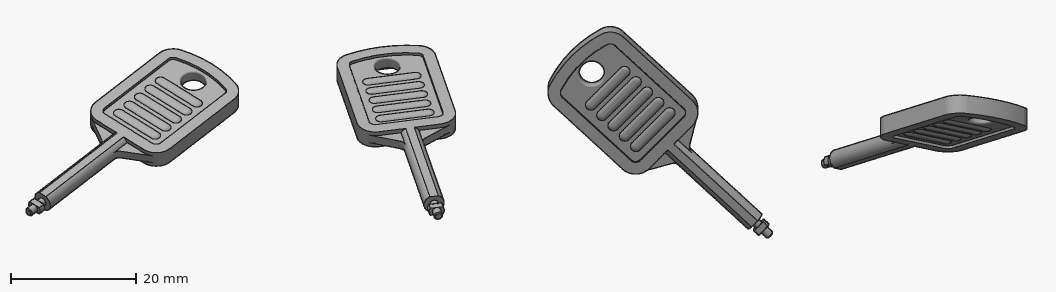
import cadquery as cq
import math


TOTAL_LENGTH = 44.0

HEAD_WIDTH = 16.0
HEAD_LENGTH = 22.0
THICKNESS = 3.0
CORNER_RADIUS = 3.0
TOP_RADIUS = 20.0
HALF_WIDTH = HEAD_WIDTH / 2
HALF_THICKNESS = THICKNESS / 2

RIM_WIDTH = 2.0
RECESS_DEPTH = 0.5
PANEL_Z = HALF_THICKNESS - RECESS_DEPTH

HOLE_DIAMETER = 4.0
HOLE_FROM_TOP = 4.5
HOLE_ROUNDING = 0.3

RIB_COUNT = 5
RIB_ROW_SPAN = 10.0
RIB_PITCH = RIB_ROW_SPAN / (RIB_COUNT - 1)
RIB_LENGTH = 9.5
RIB_WIDTH = 1.75
RIB_HEIGHT = 0.3
RIB_FLAT_WIDTH = 0.4
FIRST_RIB_Y = 4.0

STEM_DIAMETER = 3.3
STEM_LENGTH = 18.55

PIN_DIAMETER = 1.4
PIN_LENGTH = TOTAL_LENGTH - HEAD_LENGTH - STEM_LENGTH
PIN_CHAMFER = 0.18
COLLAR_DIAMETER = 2.5
COLLAR_LENGTH = 1.1
COLLAR_GAP = 0.9

GUSSET_THICKNESS = 1.5
GUSSET_ANGLE = 30.0
GUSSET_FILLET = 1.0
SEAM_MARGIN = 0.2


def head_outline(inset):
    """Closed head contour moved inwards by inset, with the corner arcs kept concentric."""
    top_radius = TOP_RADIUS - inset
    corner_radius = CORNER_RADIUS - inset
    side = HALF_WIDTH - inset
    top = HEAD_LENGTH - inset
    bottom = inset

    corner_x = HALF_WIDTH - CORNER_RADIUS
    top_center_y = HEAD_LENGTH - TOP_RADIUS
    lean = math.asin(corner_x / (TOP_RADIUS - CORNER_RADIUS))
    upper_y = top_center_y + (TOP_RADIUS - CORNER_RADIUS) * math.cos(lean)
    lower_y = CORNER_RADIUS
    shoulder_x = top_radius * math.sin(lean)
    shoulder_y = top_center_y + top_radius * math.cos(lean)

    upper_mid_angle = (math.pi / 2 - lean) / 2
    upper_mid_x = corner_x + corner_radius * math.cos(upper_mid_angle)
    upper_mid_y = upper_y + corner_radius * math.sin(upper_mid_angle)
    diagonal = corner_radius * math.sqrt(0.5)
    lower_mid_x = corner_x + diagonal
    lower_mid_y = lower_y - diagonal

    return (
        cq.Workplane("XY")
        .moveTo(-corner_x, bottom)
        .lineTo(corner_x, bottom)
        .threePointArc((lower_mid_x, lower_mid_y), (side, lower_y))
        .lineTo(side, upper_y)
        .threePointArc((upper_mid_x, upper_mid_y), (shoulder_x, shoulder_y))
        .threePointArc((0, top), (-shoulder_x, shoulder_y))
        .threePointArc((-upper_mid_x, upper_mid_y), (-side, upper_y))
        .lineTo(-side, lower_y)
        .threePointArc((-lower_mid_x, lower_mid_y), (-corner_x, bottom))
        .close()
    )


def make_head():
    head = head_outline(0).extrude(HALF_THICKNESS, both=True)
    recess = head_outline(RIM_WIDTH).extrude(RECESS_DEPTH).translate((0, 0, PANEL_Z))
    return head.cut(recess).cut(recess.mirror("XY"))


def make_hole():
    """Through hole with a rounded mouth at each panel."""
    radius = HOLE_DIAMETER / 2
    mouth_radius = radius + HOLE_ROUNDING
    straight_z = PANEL_Z - HOLE_ROUNDING
    mid_offset = HOLE_ROUNDING * math.sqrt(0.5)
    mid_radius = mouth_radius - mid_offset
    mid_z = straight_z + mid_offset
    return (
        cq.Workplane("XZ")
        .moveTo(0, -PANEL_Z)
        .lineTo(mouth_radius, -PANEL_Z)
        .threePointArc((mid_radius, -mid_z), (radius, -straight_z))
        .lineTo(radius, straight_z)
        .threePointArc((mid_radius, mid_z), (mouth_radius, PANEL_Z))
        .lineTo(0, PANEL_Z)
        .close()
        .revolve(360, (0, 0), (0, 1))
        .translate((0, HEAD_LENGTH - HOLE_FROM_TOP, 0))
    )


def make_rib(center_y):
    """Round-ended rib whose rounded flanks leave a narrow flat crest."""
    flank_width = (RIB_WIDTH - RIB_FLAT_WIDTH) / 2
    half_straight = (RIB_LENGTH - RIB_WIDTH) / 2
    flank_radius = (flank_width**2 + RIB_HEIGHT**2) / (2 * RIB_HEIGHT)
    half_sweep = math.asin(flank_width / flank_radius) / 2
    half_flat = RIB_FLAT_WIDTH / 2
    mid_x = half_flat + flank_radius * math.sin(half_sweep)
    mid_z = RIB_HEIGHT - flank_radius * (1 - math.cos(half_sweep))

    def half_section(plane):
        return (
            cq.Workplane(plane)
            .lineTo(RIB_WIDTH / 2, 0)
            .threePointArc((mid_x, mid_z), (half_flat, RIB_HEIGHT))
            .lineTo(0, RIB_HEIGHT)
            .close()
        )

    half_bar = half_section("YZ").extrude(half_straight, both=True)
    bar = half_bar.union(half_bar.mirror("XZ"))
    end = half_section("XZ").revolve(360, (0, 0), (0, 1))
    left_end = end.translate((-half_straight, 0, 0))
    right_end = end.translate((half_straight, 0, 0))
    rib = bar.union(left_end).union(right_end)
    return rib.translate((0, center_y, PANEL_Z))


def flattened_rod(diameter, height, start_y, length):
    """Rod running to -Y from start_y, cut flat above and below to the given height."""
    rod = cq.Workplane("XZ", origin=(0, start_y, 0)).circle(diameter / 2).extrude(length)
    slab = cq.Workplane("XY").box(diameter, length, height).translate((0, start_y - length / 2, 0))
    return rod.intersect(slab)


def make_pin():
    pin = (
        cq.Workplane("XZ", origin=(0, -STEM_LENGTH, 0))
        .circle(PIN_DIAMETER / 2)
        .extrude(PIN_LENGTH)
        .faces("<Y")
        .chamfer(PIN_CHAMFER)
    )
    collar_y = -STEM_LENGTH - COLLAR_GAP
    return pin.union(flattened_rod(COLLAR_DIAMETER, PIN_DIAMETER, collar_y, COLLAR_LENGTH))


def make_stem_with_gussets():
    """Stem and its two sloping webs, each web filleted into the round flank of the stem."""
    angle = math.radians(GUSSET_ANGLE)
    root_x = HALF_WIDTH - CORNER_RADIUS + CORNER_RADIUS * math.sin(angle)
    root_y = CORNER_RADIUS * (1 - math.cos(angle))
    apex_y = root_y - root_x * math.tan(angle)

    webs = (
        cq.Workplane("XY")
        .polyline([(-root_x, root_y), (0, apex_y), (root_x, root_y)])
        .close()
        .extrude(GUSSET_THICKNESS / 2, both=True)
    )
    stem = flattened_rod(STEM_DIAMETER, THICKNESS, 0, STEM_LENGTH)

    stem_radius = STEM_DIAMETER / 2
    seam_y = apex_y + stem_radius * math.tan(angle)
    seam_box = cq.selectors.BoxSelector(
        (-stem_radius, seam_y - SEAM_MARGIN, -SEAM_MARGIN),
        (stem_radius, seam_y + SEAM_MARGIN, SEAM_MARGIN),
    )
    return stem.union(webs).edges(seam_box).fillet(GUSSET_FILLET)


result = make_head().cut(make_hole())
for index in range(RIB_COUNT):
    rib = make_rib(FIRST_RIB_Y + index * RIB_PITCH)
    result = result.union(rib).union(rib.mirror("XY"))
result = result.union(make_stem_with_gussets()).union(make_pin())